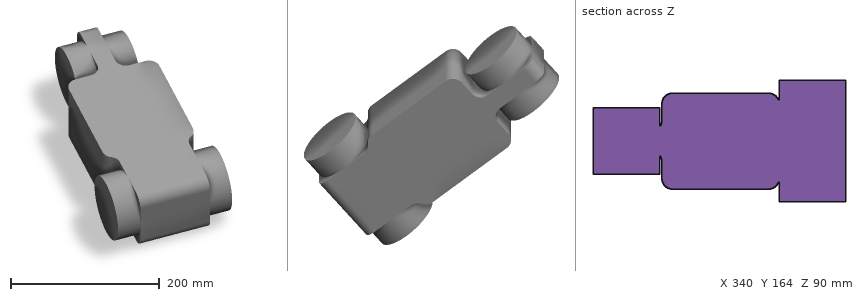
import cadquery as cq
import math

length = 340.0
height = 90.0
body_width = 130.0
front_neck_width = 26.0
front_track = 90.0
rear_track = 164.0
shoulder_from_end = 92.0
rear_blend_start = 235.5
radius = 15.0

front_x = -length / 2
rear_x = length / 2
shoulder_x = front_x + shoulder_from_end
blend_x = front_x + rear_blend_start
half_body = body_width / 2
half_neck = front_neck_width / 2

blend_angle = math.radians(60)
arc_run = radius * math.sin(blend_angle)
arc_drop = radius * (1 - math.cos(blend_angle))
half_rear = half_body - 2 * arc_drop
half_arc_run = radius * math.sin(blend_angle / 2)
half_arc_drop = radius * (1 - math.cos(blend_angle / 2))
blend_end_x = blend_x + 2 * arc_run


def make_half_body():
    """Body on the +Y side of the centre plane, without the end rounds."""
    round_mid = radius * math.sqrt(0.5)
    outline = (
        cq.Workplane("XY")
        .workplane(offset=-height / 2)
        .moveTo(front_x, 0)
        .lineTo(front_x, half_neck)
        .lineTo(shoulder_x - radius, half_neck)
        .threePointArc(
            (shoulder_x - radius + round_mid, half_neck + radius - round_mid),
            (shoulder_x, half_neck + radius),
        )
        .lineTo(shoulder_x, half_body - radius)
        .threePointArc(
            (shoulder_x + radius - round_mid, half_body - radius + round_mid),
            (shoulder_x + radius, half_body),
        )
        .lineTo(blend_x, half_body)
        .threePointArc(
            (blend_x + half_arc_run, half_body - half_arc_drop),
            (blend_x + arc_run, half_body - arc_drop),
        )
        .threePointArc(
            (blend_end_x - half_arc_run, half_rear + half_arc_drop),
            (blend_end_x, half_rear),
        )
        .lineTo(rear_x, half_rear)
        .lineTo(rear_x, 0)
        .close()
    )
    return outline.extrude(height)


def make_body():
    """Symmetric body with its upper and lower end edges rounded."""
    rounded_block = cq.Workplane("XY").box(length, body_width, height).edges("|Y").fillet(radius)
    half = make_half_body().intersect(rounded_block)
    return half.union(half.mirror("XZ")).clean()


def make_wheel(center_x, inner_y, outer_y):
    """Solid wheel on the +Y side, from the neck face outwards."""
    return (
        cq.Workplane("XZ", origin=(center_x, outer_y, 0))
        .circle(height / 2)
        .extrude(outer_y - inner_y)
    )


result = make_body()
wheel_pairs = [
    (front_x + height / 2, half_neck, front_track / 2),
    (rear_x - height / 2, half_rear, rear_track / 2),
]
for center_x, inner_y, outer_y in wheel_pairs:
    wheel = make_wheel(center_x, inner_y, outer_y)
    result = result.union(wheel).union(wheel.mirror("XZ"))